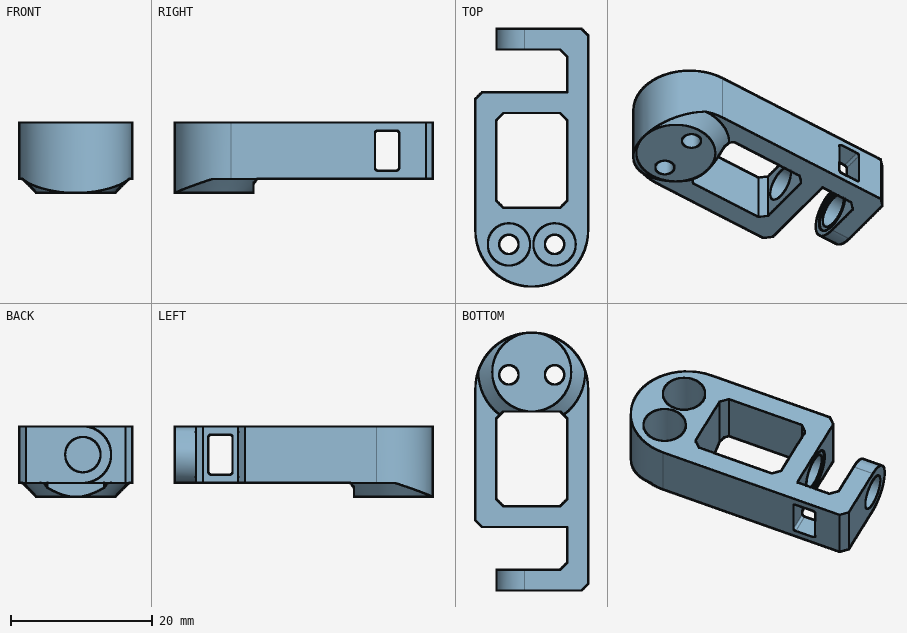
import cadquery as cq

length = 36.57
width = 16.0
thickness = 8.0
wall = 3.0
corner_chamfer = 1.0
end_radius = width / 2
tip_y = -end_radius
back_y = length + tip_y
right_x = width / 2
left_x = -right_x
mid_z = thickness / 2

gap_length = 6.0
arm_inner_x = right_x - wall
hook_inner_y = back_y - wall
crossbar_back_y = hook_inner_y - gap_length
hook_tip_x = left_x + wall
hook_radius = thickness / 2
pivot_x = hook_tip_x + hook_radius

window_width = width - 2 * wall
window_back_y = crossbar_back_y - wall
window_length = 13.4

pad_height = 1.97
pad_tip_radius = 5.6
pad_base_radius = pad_tip_radius + pad_height
pad_y = tip_y + pad_tip_radius

screw_spacing = 6.47
screw_y = tip_y + 6.0
screw_diameter = 2.7
counterbore_diameter = 6.0
counterbore_floor = wall - pad_height

pivot_diameter = 5.0
recess_diameter = 6.4
recess_depth = 0.2

slot_length = 3.4
slot_height = 5.65
slot_corner = 0.35
slot_y = (crossbar_back_y + hook_inner_y - corner_chamfer) / 2


def make_body():
    """Plate with a round end, a crossbar and a hook arm."""
    return (
        cq.Workplane("XY")
        .moveTo(left_x, 0)
        .threePointArc((0, tip_y), (right_x, 0))
        .lineTo(right_x, back_y - corner_chamfer)
        .lineTo(right_x - corner_chamfer, back_y)
        .lineTo(hook_tip_x, back_y)
        .lineTo(hook_tip_x, hook_inner_y)
        .lineTo(arm_inner_x - corner_chamfer, hook_inner_y)
        .lineTo(arm_inner_x, hook_inner_y - corner_chamfer)
        .lineTo(arm_inner_x, crossbar_back_y)
        .lineTo(left_x + corner_chamfer, crossbar_back_y)
        .lineTo(left_x, crossbar_back_y - corner_chamfer)
        .close()
        .extrude(thickness)
    )


def make_pad():
    """Cone frustum narrowing downwards, trimmed to the round end of the body."""
    cone = cq.Workplane(cq.Solid.makeCone(
        pad_tip_radius, pad_base_radius, pad_height, cq.Vector(0, pad_y, -pad_height)
    ))
    round_end = cq.Workplane("XY").circle(end_radius).extrude(-pad_height)
    straight_part = (
        cq.Workplane("XY").rect(width, length).extrude(-pad_height)
        .translate((0, length / 2, 0))
    )
    return cone.intersect(round_end.union(straight_part))


def cylinder_along_y(x, diameter, start_y, end_y):
    """Cylinder parallel to Y at mid thickness."""
    return (
        cq.Workplane("XZ", origin=(x, end_y, mid_z))
        .circle(diameter / 2)
        .extrude(end_y - start_y)
    )


def hook_rounding():
    """Material to remove so the hook tip becomes a half cylinder."""
    block = cq.Workplane("XY").box(
        hook_radius, wall, thickness, centered=False
    ).translate((hook_tip_x, hook_inner_y, 0))
    return block.cut(cylinder_along_y(pivot_x, 2 * hook_radius, hook_inner_y, back_y))


def make_window():
    """Rectangular opening with chamfered corners, through body and pad."""
    return (
        cq.Workplane("XY", origin=(0, window_back_y - window_length / 2, -pad_height))
        .rect(window_width, window_length)
        .extrude(thickness + pad_height)
        .edges("|Z").chamfer(corner_chamfer)
    )


def make_screw_holes():
    """Pair of through holes with counterbores open at the top."""
    centers = [(-screw_spacing / 2, screw_y), (screw_spacing / 2, screw_y)]
    holes = (
        cq.Workplane("XY", origin=(0, 0, -pad_height))
        .pushPoints(centers).circle(screw_diameter / 2)
        .extrude(thickness + pad_height)
    )
    counterbores = (
        cq.Workplane("XY", origin=(0, 0, counterbore_floor))
        .pushPoints(centers).circle(counterbore_diameter / 2)
        .extrude(thickness - counterbore_floor)
    )
    return holes.union(counterbores)


def make_pivot_bore():
    """Bore through hook and crossbar, with a recess in each face of the gap."""
    bore = cylinder_along_y(pivot_x, pivot_diameter, window_back_y, back_y)
    recesses = cylinder_along_y(
        pivot_x, recess_diameter, crossbar_back_y - recess_depth, hook_inner_y + recess_depth
    )
    return bore.union(recesses)


def make_arm_slot():
    """Rounded rectangular opening through the arm."""
    return (
        cq.Workplane("YZ", origin=(arm_inner_x, slot_y, mid_z))
        .rect(slot_length, slot_height)
        .extrude(wall)
        .edges("|X").fillet(slot_corner)
    )


result = (
    make_body()
    .union(make_pad())
    .cut(hook_rounding())
    .cut(make_window())
    .cut(make_screw_holes())
    .cut(make_pivot_bore())
    .cut(make_arm_slot())
)